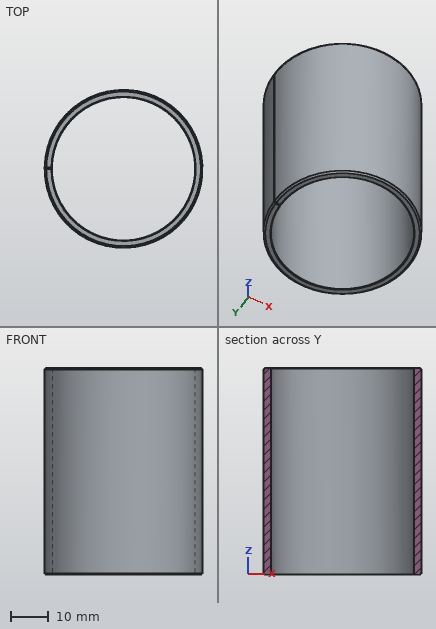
import cadquery as cq

OUTER_DIAMETER = 42.0
WALL_THICKNESS = 2.0
LENGTH = 55.0

OUTER_CHAMFER = 0.5
INNER_CHAMFER = 0.2

SEAM_ANGLE = 1.0
FULL_TURN = 360.0

outer_radius = OUTER_DIAMETER / 2
inner_radius = outer_radius - WALL_THICKNESS
half_length = LENGTH / 2


def make_wall_section():
    """Chamfered wall section in the XZ plane, on the -X side of the axis."""
    end_outer_radius = outer_radius - OUTER_CHAMFER
    end_inner_radius = inner_radius + INNER_CHAMFER
    outer_shoulder = half_length - OUTER_CHAMFER
    inner_shoulder = half_length - INNER_CHAMFER
    outline = [
        (-inner_radius, -inner_shoulder),
        (-end_inner_radius, -half_length),
        (-end_outer_radius, -half_length),
        (-outer_radius, -outer_shoulder),
        (-outer_radius, outer_shoulder),
        (-end_outer_radius, half_length),
        (-end_inner_radius, half_length),
        (-inner_radius, inner_shoulder),
    ]
    return cq.Workplane("XZ").polyline(outline).close()


def make_split_sleeve():
    """Sweep the section counterclockwise about Z, so the seam opens on the +Y side of -X."""
    axis_start = (0, 0, 0)
    axis_end = (0, 1, 0)
    return make_wall_section().revolve(FULL_TURN - SEAM_ANGLE, axis_start, axis_end)


result = make_split_sleeve()